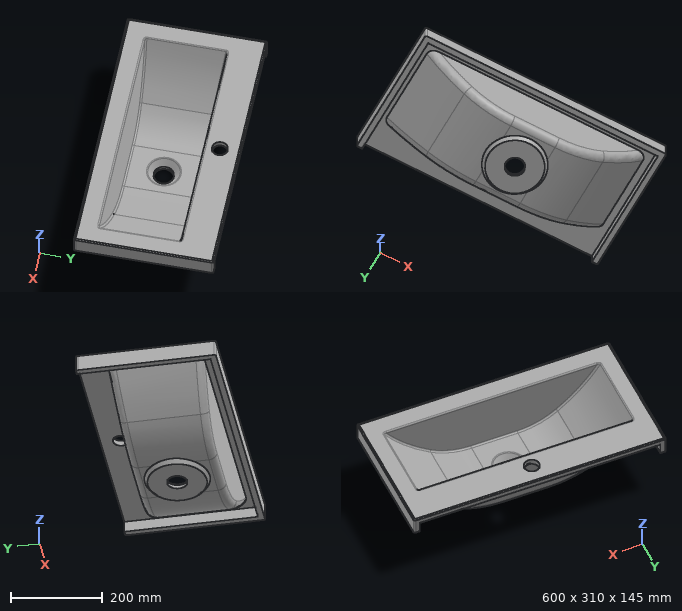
import cadquery as cq
import math


rim_length = 600.0
rim_width = 310.0
rim_height = 41.0
rim_wall = 14.0
rim_corner_radius = 4.0
rim_bevel_drop = 2.0
rim_bevel_width = 3.5

bowl_center_y = -17.0
inner_width = 183.5
floor_half_length = 55.0
inner_depth = 122.0
inner_heel_radius = 186.0
inner_heel_angle = 31.0
inner_half_length = 258.0
inner_corner_radius = 4.0
opening_edge_radius = 3.5
wall_draft = 6.0

bowl_wall = 14.0
outer_depth = inner_depth + bowl_wall
outer_heel_radius = 210.0
outer_heel_angle = 34.0
outer_half_length = 275.5
outer_back_y = 92.0
outer_front_y = -123.0
outer_back_draft = 6.0
outer_front_draft = 5.0
outer_corner_radius = 18.0

drain_y = -15.0
drain_top_diameter = 73.0
drain_hole_diameter = 44.5
drain_edge_radius = 3.5
drain_cone_height = (drain_top_diameter - drain_hole_diameter) / 2
boss_bottom_z = -145.0
boss_diameter = 130.0
boss_flare = 10.0
boss_height = 14.5

tap_hole_diameter = 35.0
tap_hole_y = 110.0
overflow_diameter = 24.0
overflow_x = -60.0
overflow_z = -35.0


def long_section(depth, heel_radius, heel_angle, top_half_length, top_z):
    """Prism along Y with a flat floor and, at each end, a heel arc and a tangent arc up to top_z."""
    turn = math.radians(heel_angle)

    def heel_point(angle):
        x = floor_half_length + heel_radius * math.sin(angle)
        z = -depth + heel_radius * (1 - math.cos(angle))
        return x, z

    return (
        cq.Workplane("XZ")
        .moveTo(0, -depth)
        .hLineTo(floor_half_length)
        .threePointArc(heel_point(turn / 2), heel_point(turn))
        .tangentArcPoint((top_half_length, top_z), relative=False)
        .hLineTo(0)
        .mirrorY()
        .extrude(rim_width / 2, both=True)
    )


def cross_section(depth, back_y, front_y, back_draft, front_draft, top_z):
    """Prism along X whose front and back walls pass through back_y and front_y at z = 0."""
    back_slope = math.tan(math.radians(back_draft))
    front_slope = math.tan(math.radians(front_draft))
    outline = [
        (back_y + top_z * back_slope, top_z),
        (back_y - depth * back_slope, -depth),
        (front_y + depth * front_slope, -depth),
        (front_y - top_z * front_slope, top_z),
    ]
    return cq.Workplane("YZ").polyline(outline).close().extrude(rim_length, both=True)


def make_rim():
    rim = cq.Workplane("XY").box(rim_length, rim_width, rim_height, centered=(True, True, False))
    rim = rim.translate((0, 0, -rim_height))
    rim = rim.edges("|Z").fillet(rim_corner_radius)
    rim = rim.faces(">Z").chamfer(rim_bevel_drop, rim_bevel_width)
    hollow = (
        cq.Workplane("XY")
        .box(rim_length - 2 * rim_wall, rim_width, rim_height, centered=(True, True, False))
        .translate((0, rim_wall, -rim_height - rim_wall))
    )
    return rim.cut(hollow)


def make_bowl_outside():
    top_z = -rim_wall / 2
    bowl = long_section(
        outer_depth, outer_heel_radius, outer_heel_angle, outer_half_length, top_z
    ).intersect(
        cross_section(outer_depth, outer_back_y, outer_front_y, outer_back_draft, outer_front_draft, top_z)
    )
    lower_edges = bowl.faces("<Y or >Y").edges().edges("not(>Z)")
    return lower_edges.fillet(outer_corner_radius)


def make_bowl_inside():
    back_y = bowl_center_y + inner_width / 2
    front_y = bowl_center_y - inner_width / 2
    cavity = long_section(inner_depth, inner_heel_radius, inner_heel_angle, inner_half_length, 0).intersect(
        cross_section(inner_depth, back_y, front_y, wall_draft, wall_draft, 0)
    )
    lower_edges = cavity.faces("<Y or >Y").edges().edges("not(>Z)")
    return lower_edges.fillet(inner_corner_radius)


def make_drain_boss():
    return (
        cq.Workplane("XY", origin=(0, drain_y, boss_bottom_z))
        .circle(boss_diameter / 2)
        .workplane(offset=boss_height)
        .circle(boss_diameter / 2 + boss_flare)
        .loft()
    )


def make_drain_hole():
    hole_radius = drain_hole_diameter / 2
    hole = (
        cq.Workplane("XY", origin=(0, drain_y, boss_bottom_z))
        .circle(hole_radius)
        .extrude(outer_depth)
    )
    cone = (
        cq.Workplane("XY", origin=(0, drain_y, -inner_depth - drain_cone_height))
        .circle(hole_radius)
        .workplane(offset=drain_cone_height)
        .circle(drain_top_diameter / 2)
        .loft()
    )
    return hole.union(cone)


def make_tap_hole():
    return (
        cq.Workplane("XY", origin=(0, tap_hole_y, -rim_height))
        .circle(tap_hole_diameter / 2)
        .extrude(rim_height)
    )


def make_overflow_hole():
    """Hole through the back wall of the bowl, opening into the hollow of the rim."""
    return (
        cq.Workplane("XZ", origin=(overflow_x, bowl_center_y, overflow_z))
        .circle(overflow_diameter / 2)
        .extrude(-inner_width)
    )


def round_opening(part):
    """Round the edge where the bowl meets the top face."""
    margin = opening_edge_radius
    half_x = inner_half_length + margin
    half_y = inner_width / 2 + margin
    inside_opening = cq.selectors.BoxSelector(
        (-half_x, bowl_center_y - half_y, -margin / 2),
        (half_x, bowl_center_y + half_y, margin / 2),
    )
    return part.faces(">Z").edges(inside_opening).fillet(opening_edge_radius)


def round_drain_mouth(part):
    """Round the circle where the drain cone meets the bowl floor."""
    reach = drain_top_diameter / 2 + drain_edge_radius
    mouth = cq.selectors.BoxSelector(
        (-reach, drain_y - reach, -inner_depth - drain_edge_radius),
        (reach, drain_y + reach, -inner_depth + drain_edge_radius),
    )
    return part.edges("%CIRCLE").edges(mouth).fillet(drain_edge_radius)


basin = make_rim().union(make_bowl_outside()).union(make_drain_boss())
basin = round_opening(basin.cut(make_bowl_inside()))
basin = round_drain_mouth(basin.cut(make_drain_hole()))
result = basin.cut(make_tap_hole()).cut(make_overflow_hole())